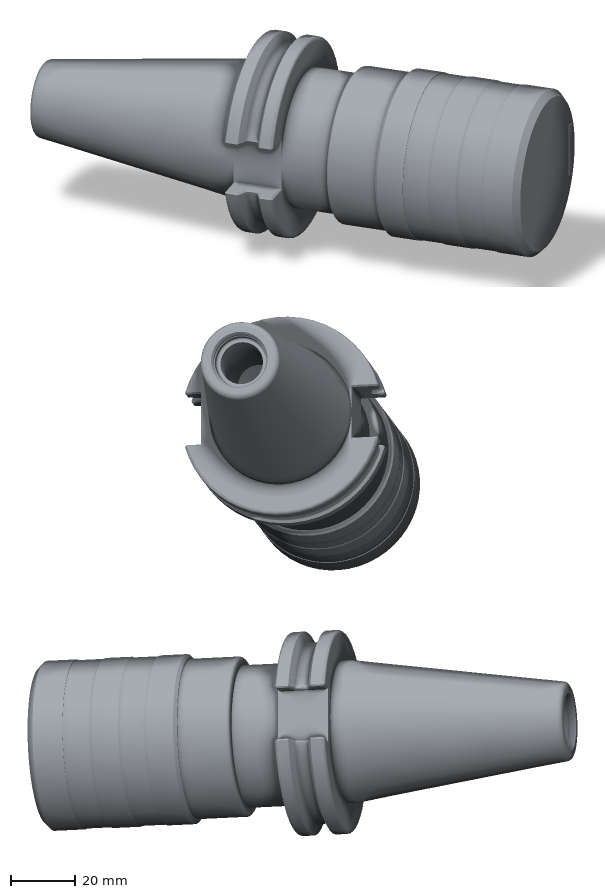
import cadquery as cq
import math

LENGTH = 167.6
TOLERANCE = 0.02

TAPER_RATIO = 7 / 24
GAUGE_DIAMETER = 44.4
GAUGE_X = 68.4
NOSE_ROUND = 1.7

MOUTH_DIAMETER = 18.0
MOUTH_TAPER = 1.0
PILOT_DIAMETER = 16.8
PILOT_DEPTH = 2.0
THREAD_DIAMETER = 16.3
THREAD_DEPTH = 4.2
DRILL_DIAMETER = 13.4
DRILL_DEPTH = 33.5
DRILL_TIP_ANGLE = 118.0

FLANGE_DIAMETER = 63.5
FLANGE_START = 71.4
FLANGE_END = 87.3
RIM_ROUND = 1.0
GROOVE_ROOT_DIAMETER = 56.5
GROOVE_ROOT_START = 77.8
GROOVE_ROOT_END = 81.1
GROOVE_FLANK_WIDTH = 1.8
GROOVE_ROOT_ROUND = 0.8

SLOT_WIDTH = 16.3
SLOT_EDGE_CHAMFER = 0.5
SHALLOW_FLOOR = 25.3
DEEP_FLOOR = 22.3

NECK_DIAMETER = GAUGE_DIAMETER
RELIEF_DIAMETER = 42.0
RELIEF_WIDTH = 0.3
COLLAR_DIAMETER = 50.0
COLLAR_START = 103.0
COLLAR_ROUND = 1.0

BAND_DIAMETER = 53.0
SLEEVE_DIAMETER = 52.5
SLEEVE_START = 119.5
SLEEVE_CHAMFER = 1.0
REAR_BAND_END = 129.0
MIDDLE_BAND_START = 137.6
MIDDLE_BAND_END = 147.0
FRONT_BAND_START = 155.7
BAND_BEVEL = 0.5
FACE_CHAMFER = 2.0

BAR_HEIGHT = 0.3
BAR_WIDTH = 2.3
BAR_LENGTH = 17.0
BAR_CENTER_Y = 20.0
FACE_X = LENGTH - BAR_HEIGHT


def revolve(points):
    """Solid of revolution about X from (x, radius) points that start and end on the axis."""
    return cq.Workplane("XY").polyline(points).close().revolve(360, (0, 0), (1, 0))


def cylinder(diameter, start, end):
    return cq.Workplane("YZ", origin=(start, 0, 0)).circle(diameter / 2).extrude(end - start)


def make_shank():
    nose_radius = (GAUGE_DIAMETER - TAPER_RATIO * GAUGE_X) / 2
    gauge_radius = GAUGE_DIAMETER / 2
    shank = revolve([(0, 0), (0, nose_radius), (GAUGE_X, gauge_radius), (FLANGE_START, gauge_radius),
                     (FLANGE_START, 0)])
    return shank.faces("<X").edges().fillet(NOSE_ROUND)


def make_flange():
    flange = cylinder(FLANGE_DIAMETER, FLANGE_START, FLANGE_END)
    flange = flange.faces("<X or >X").edges().fillet(RIM_ROUND)
    rim = FLANGE_DIAMETER / 2
    root = GROOVE_ROOT_DIAMETER / 2
    groove = revolve([
        (GROOVE_ROOT_START, 0),
        (GROOVE_ROOT_START, root),
        (GROOVE_ROOT_START - GROOVE_FLANK_WIDTH, rim),
        (GROOVE_ROOT_END + GROOVE_FLANK_WIDTH, rim),
        (GROOVE_ROOT_END, root),
        (GROOVE_ROOT_END, 0),
    ])
    root_core = cylinder(GROOVE_ROOT_DIAMETER, FLANGE_START, FLANGE_END)
    flange = flange.cut(groove).union(root_core)
    root_edges = flange.edges("%CIRCLE").filter(lambda edge: abs(edge.radius() - root) < TOLERANCE)
    flange = root_edges.fillet(GROOVE_ROOT_ROUND)
    return cut_slot(cut_slot(flange, 1, SHALLOW_FLOOR), -1, DEEP_FLOOR)


def cut_slot(flange, side, floor):
    """Cut the drive slot on the +Y or -Y side and chamfer the outer edges of its two walls."""
    slot = cq.Workplane("XY").box(FLANGE_END - FLANGE_START, FLANGE_DIAMETER, SLOT_WIDTH)
    slot = slot.translate(((FLANGE_START + FLANGE_END) / 2, side * (floor + FLANGE_DIAMETER / 2), 0))
    walls = flange.cut(slot).faces("|Z").filter(lambda face: side * face.Center().y > 0)
    outer_edges = walls.edges().filter(lambda edge: abs(edge.Center().y) > floor + TOLERANCE)
    return outer_edges.chamfer(SLOT_EDGE_CHAMFER)


def make_neck():
    neck = cylinder(NECK_DIAMETER, FLANGE_END, COLLAR_START - RELIEF_WIDTH)
    relief = cylinder(RELIEF_DIAMETER, COLLAR_START - RELIEF_WIDTH, COLLAR_START)
    return neck.union(relief)


def make_collar():
    collar = cylinder(COLLAR_DIAMETER, COLLAR_START, SLEEVE_START)
    return collar.faces("<X").edges().fillet(COLLAR_ROUND)


def make_sleeve():
    band = BAND_DIAMETER / 2
    body = SLEEVE_DIAMETER / 2
    return revolve([
        (SLEEVE_START, 0),
        (SLEEVE_START, band - SLEEVE_CHAMFER),
        (SLEEVE_START + SLEEVE_CHAMFER, band),
        (REAR_BAND_END, band),
        (REAR_BAND_END, body),
        (MIDDLE_BAND_START, body),
        (MIDDLE_BAND_START + BAND_BEVEL, band),
        (MIDDLE_BAND_END - BAND_BEVEL, band),
        (MIDDLE_BAND_END, body),
        (FRONT_BAND_START, body),
        (FRONT_BAND_START, band),
        (FACE_X - FACE_CHAMFER, band),
        (FACE_X, band - FACE_CHAMFER),
        (FACE_X, 0),
    ])


def make_face_bar():
    bar = cq.Workplane("YZ", origin=(FACE_X, 0, 0)).center(BAR_CENTER_Y, 0)
    return bar.rect(BAR_WIDTH, BAR_LENGTH).extrude(BAR_HEIGHT)


def make_stud_hole():
    mouth = MOUTH_DIAMETER / 2
    pilot = PILOT_DIAMETER / 2
    thread = THREAD_DIAMETER / 2
    drill = DRILL_DIAMETER / 2
    tip_length = drill / math.tan(math.radians(DRILL_TIP_ANGLE / 2))
    return revolve([
        (0, 0),
        (0, mouth),
        (MOUTH_TAPER, pilot),
        (PILOT_DEPTH, pilot),
        (PILOT_DEPTH + pilot - thread, thread),
        (THREAD_DEPTH, thread),
        (THREAD_DEPTH, drill),
        (DRILL_DEPTH, drill),
        (DRILL_DEPTH + tip_length, 0),
    ])


result = make_shank()
for section in (make_flange(), make_neck(), make_collar(), make_sleeve(), make_face_bar()):
    result = result.union(section)
result = result.cut(make_stud_hole())